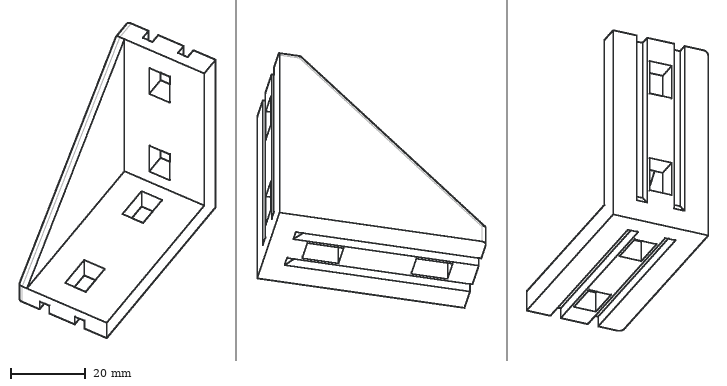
import cadquery as cq

leg_length = 57.0
width = 28.0

leg_thickness = 6.0
web_thickness = 3.0
edge_radius = 1.5

window_width = 6.45
window_length = 10.0
window_distances = (15.0, 45.0)

groove_width = 3.0
groove_depth = 3.0
groove_spacing = 11.0
groove_start = leg_thickness

middle_x = width / 2
side_plane = cq.Workplane("YZ")


def make_body():
    """L-shaped legs with the web, rounded along the web's free outer edges."""
    legs = side_plane.polyline([
        (0, 0),
        (-leg_length, 0),
        (-leg_length, leg_thickness),
        (-leg_thickness, leg_thickness),
        (-leg_thickness, leg_length),
        (0, leg_length),
    ]).close().extrude(width)
    web = side_plane.polyline([
        (0, 0),
        (-leg_length, 0),
        (-leg_length, leg_thickness),
        (-leg_thickness, leg_length),
        (0, leg_length),
    ]).close().extrude(web_thickness)
    body = legs.union(web)

    centre = leg_length / 2
    free_edge_middles = (
        (0, -leg_length, leg_thickness / 2),
        (0, -centre - leg_thickness / 2, centre + leg_thickness / 2),
        (0, -leg_thickness / 2, leg_length),
    )
    free_edges = body.edges(cq.selectors.NearestToPointSelector(free_edge_middles[0]))
    for middle in free_edge_middles[1:]:
        free_edges = free_edges.add(body.edges(cq.selectors.NearestToPointSelector(middle)))
    return free_edges.fillet(edge_radius)


def make_bottom_leg_cuts():
    """Windows and grooves to remove from the bottom leg."""
    cuts = (
        cq.Workplane("XY")
        .pushPoints([(middle_x, -distance) for distance in window_distances])
        .rect(window_width, window_length)
        .extrude(leg_thickness)
    )
    for side in (-1, 1):
        groove_x = middle_x + side * groove_spacing / 2
        groove = (
            side_plane.workplane(offset=groove_x)
            .polyline([
                (-leg_length, 0),
                (-groove_start, 0),
                (-groove_start - groove_depth, groove_depth),
                (-leg_length, groove_depth),
            ])
            .close()
            .extrude(groove_width / 2, both=True)
        )
        cuts = cuts.union(groove)
    return cuts


bottom_cuts = make_bottom_leg_cuts()

back_cuts = bottom_cuts.mirror("XY").rotate((0, 0, 0), (1, 0, 0), -90)

result = make_body().cut(bottom_cuts).cut(back_cuts)